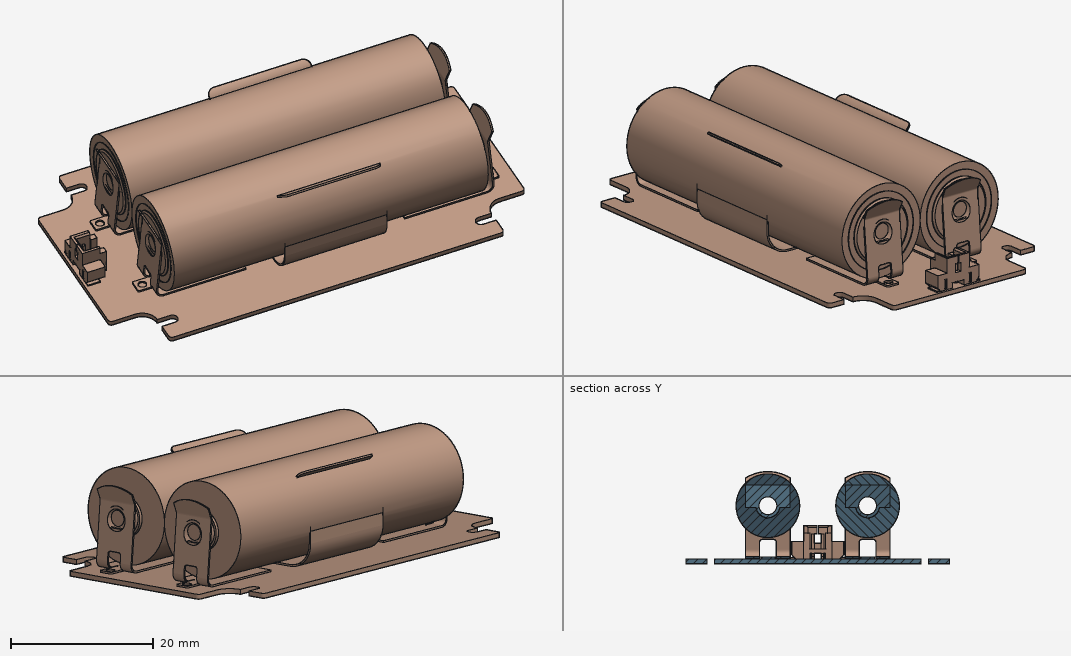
import cadquery as cq
import math

BOARD_WIDTH = 37.0
BOARD_LENGTH = 64.5
BOARD_THICKNESS = 0.7
EAR_LENGTH = 51.85
END_TAB_WIDTH = 23.85
INNER_CORNER_RADIUS = 2.3
OUTER_CORNER_RADIUS = 0.5
SLOT_WIDTH = 1.55
SLOT_DEPTH = 2.8
SLOT_X = END_TAB_WIDTH / 2 + INNER_CORNER_RADIUS + SLOT_WIDTH / 2

SHEET = 0.25
SHEET_TOP = BOARD_THICKNESS + SHEET
HOLDER_Y = 2.05

CELL_TOP = 15.15
CELL_DIAMETER = 14.0
CELL_RADIUS = CELL_DIAMETER / 2
CELL_X = CELL_RADIUS
CELL_Z = CELL_TOP - CELL_RADIUS
CELL_BACK = 25.55
CELL_FRONT = -23.15
CAP_END = 26.8
CAP_FLANGE_DIAMETER = 5.8
CAP_FLANGE_HEIGHT = 0.5
CAP_BASE_DIAMETER = 5.15
CAP_TIP_DIAMETER = 4.5
NEGATIVE_DISC_DIAMETER = 9.6
NEGATIVE_DISC_HEIGHT = 0.2
NEGATIVE_DISC_BEVEL = 0.3
NEGATIVE_WELL_DIAMETER = 11.6
NEGATIVE_WELL_DEPTH = 0.1

TERMINAL_WIDTH = 6.3
FOOT_START = 12.3
BEND = 26.3
BEND_RADIUS = 1.15
KINK = 25.4
KINK_Z = 10.5
KINK_RADIUS = 0.5
LIP = 26.45
LIP_Z = 12.95
LIP_CROWN = 0.9
WINDOW_WIDTH = 2.3
WINDOW_TOP = 3.4
WINDOW_START = 24.0
WINDOW_CORNER_RADIUS = 0.4
TAB_WIDTH = 2.05
TAB_START = 22.85
TAB_END = 28.0
TAB_CORNER_RADIUS = 0.2
TAB_HOLE_DIAMETER = 1.2
TAB_HOLE = 26.9
DIMPLE_MOUTH_DIAMETER = 3.6
DIMPLE_TIP_DIAMETER = 2.5
DISH_FLOOR_DIAMETER = 2.3
DISH_DEPTH = 0.25
DIMPLE_TIP = CAP_END - HOLDER_Y

HOLDER_LENGTH = 15.8
ARM_DEPTH = 0.25
ARM_RADIUS = CELL_RADIUS - ARM_DEPTH
ARM_X = CELL_X + ARM_RADIUS
ARM_BEND_RADIUS = 3.75
ARM_END_ANGLE = 52.0
HOLDER_LIP_LENGTH = 1.6
HOLDER_LIP_ANGLE = 36.0
HOLDER_LIP_BOW = 0.1
HOLDER_LIP_CORNER = 1.15

CONNECTOR_FRONT = -31.8
CONNECTOR_BACK = -28.05
HOUSING_BACK = -29.0
HOUSING_WIDTH = 4.0
HOUSING_TOP = 5.35
POST_TOP = 4.3
POST_GAP = 2.2
CAVITY_WIDTH = 2.7
CAVITY_BEVEL = 0.25
CAVITY_FLOOR = 2.05
FRONT_WALL = 0.65
WING_SPAN = 7.35
WING_TOP = 3.15
WING_BEVEL = 0.6
NOTCH_WIDTH = 0.2
NOTCH_WINDOW_WIDTH = 0.95
NOTCH_WINDOW_BOTTOM = 2.9
NOTCH_WINDOW_TOP = 4.2
TUNNEL_WIDTH = 2.05
TUNNEL_TOP = 1.5
FOOT_PAD_SPAN = 7.75
FOOT_PAD_BACK = -29.85
FOOT_PAD_HEIGHT = 0.2
GROOVE_WIDTH = 0.4
GROOVE_TOP = 2.25
GROOVE_DEPTH = 0.25
PIN_PITCH = 1.35
PIN_SIZE = 0.4
PIN_Y = -30.3
PIN_TOP = 4.2
PIN_TAIL_END = -27.55
PIN_TAIL_HEIGHT = 0.3


def block(x_range, y_range, z_range):
    """Axis-aligned block between the given limits."""
    sizes = [high - low for low, high in (x_range, y_range, z_range)]
    corner = (x_range[0], y_range[0], z_range[0])
    return cq.Workplane("XY").box(*sizes, centered=False).translate(corner)


def centred(width):
    """Limits of a width that is centred on zero."""
    return (-width / 2, width / 2)


def make_board():
    middle = cq.Workplane("XY").rect(BOARD_WIDTH, EAR_LENGTH).extrude(BOARD_THICKNESS)
    tabs = cq.Workplane("XY").rect(END_TAB_WIDTH, BOARD_LENGTH).extrude(BOARD_THICKNESS)
    board = middle.union(tabs)

    def round_corners(shape, x, y, radius):
        for side_x in (-x, x):
            for side_y in (-y, y):
                corner = cq.selectors.NearestToPointSelector((side_x, side_y, BOARD_THICKNESS / 2))
                shape = shape.edges("|Z").edges(corner).fillet(radius)
        return shape

    board = round_corners(board, END_TAB_WIDTH / 2, EAR_LENGTH / 2, INNER_CORNER_RADIUS)
    board = round_corners(board, END_TAB_WIDTH / 2, BOARD_LENGTH / 2, OUTER_CORNER_RADIUS)
    board = round_corners(board, BOARD_WIDTH / 2, EAR_LENGTH / 2, OUTER_CORNER_RADIUS)

    slots = (
        cq.Workplane("XY")
        .rect(2 * SLOT_X, EAR_LENGTH, forConstruction=True)
        .vertices()
        .slot2D(2 * SLOT_DEPTH, SLOT_WIDTH, 90)
        .extrude(BOARD_THICKNESS)
    )
    return board.cut(slots)


def make_terminal(with_dish=True):
    """Terminal on X = 0 that stands at the +Y end of a cell centred on Y = 0.

    Without the dish, the dimple is solid: that is the room the terminal takes up in a cell.
    """
    profile = [
        (FOOT_START, BOARD_THICKNESS),
        (BEND, BOARD_THICKNESS),
        (KINK, KINK_Z),
        (LIP, LIP_Z),
        (LIP - SHEET, LIP_Z),
        (KINK - SHEET, KINK_Z),
        (BEND - SHEET, SHEET_TOP),
        (FOOT_START, SHEET_TOP),
    ]
    side_plane = cq.Workplane("YZ", origin=(-TERMINAL_WIDTH / 2, 0, 0))
    strip = side_plane.polyline(profile).close().extrude(TERMINAL_WIDTH)

    def round_bend(shape, y, z, radius):
        return shape.edges(cq.selectors.NearestToPointSelector((0, y, z))).fillet(radius)

    strip = round_bend(strip, BEND, BOARD_THICKNESS, BEND_RADIUS)
    strip = round_bend(strip, BEND - SHEET, SHEET_TOP, BEND_RADIUS - SHEET)
    strip = round_bend(strip, KINK, KINK_Z, KINK_RADIUS)
    strip = round_bend(strip, KINK - SHEET, KINK_Z, KINK_RADIUS + SHEET)

    half = TERMINAL_WIDTH / 2
    above_lip = (
        cq.Workplane("XZ")
        .moveTo(-half, LIP_Z - LIP_CROWN)
        .threePointArc((0, LIP_Z), (half, LIP_Z - LIP_CROWN))
        .lineTo(half, CELL_TOP)
        .lineTo(-half, CELL_TOP)
        .close()
        .extrude(-TAB_END)
    )
    strip = strip.cut(above_lip)

    window = block(
        centred(WINDOW_WIDTH), (WINDOW_START, TAB_END), (BOARD_THICKNESS, WINDOW_TOP)
    )
    window = window.edges("|Y and >Z").fillet(WINDOW_CORNER_RADIUS)
    tab = block(
        centred(TAB_WIDTH), (TAB_START, TAB_END), (BOARD_THICKNESS, SHEET_TOP)
    )
    tab = tab.edges("|Z and >Y").fillet(TAB_CORNER_RADIUS)
    hole = (
        cq.Workplane("XY")
        .center(0, TAB_HOLE)
        .circle(TAB_HOLE_DIAMETER / 2)
        .extrude(SHEET_TOP)
    )
    strip = strip.cut(window).union(tab).cut(hole)

    lean = (BEND - KINK) / (KINK_Z - BOARD_THICKNESS)
    mouth = KINK + lean * (KINK_Z - CELL_Z)

    def frustum(mouth_diameter, mouth_y, tip_diameter, tip_y):
        outline = [(0, tip_y), (tip_diameter / 2, tip_y), (mouth_diameter / 2, mouth_y), (0, mouth_y)]
        cone = cq.Workplane("XY").polyline(outline).close().revolve(360, (0, 0), (0, 1))
        return cone.translate((0, 0, CELL_Z))

    bump = frustum(DIMPLE_MOUTH_DIAMETER, mouth - SHEET / 2, DIMPLE_TIP_DIAMETER, DIMPLE_TIP)
    dish = frustum(DIMPLE_MOUTH_DIAMETER, mouth + SHEET / 2, DISH_FLOOR_DIAMETER, mouth - DISH_DEPTH)
    strip = strip.union(bump)
    return strip.cut(dish) if with_dish else strip


def place_back(terminal, x):
    return terminal.translate((x, HOLDER_Y, 0))


def place_front(terminal, x):
    return terminal.rotate((0, 0, 0), (0, 0, 1), 180).translate((x, HOLDER_Y, 0))


def make_holder():
    def on_cell(radius, angle):
        turn = math.radians(angle)
        return (CELL_X + radius * math.cos(turn), CELL_Z + radius * math.sin(turn))

    bend_x = ARM_X - ARM_BEND_RADIUS
    bend_z = BOARD_THICKNESS + ARM_BEND_RADIUS
    half_turn = math.sqrt(0.5)
    inner_bend = ARM_BEND_RADIUS - SHEET
    inner_radius = ARM_RADIUS - SHEET
    lip_turn = math.radians(HOLDER_LIP_ANGLE)
    lip_root = on_cell(ARM_RADIUS, ARM_END_ANGLE)
    lip_tip = (
        lip_root[0] + HOLDER_LIP_LENGTH * math.cos(lip_turn),
        lip_root[1] + HOLDER_LIP_LENGTH * math.sin(lip_turn),
    )
    lip_tip_top = (lip_tip[0] - SHEET * math.sin(lip_turn), lip_tip[1] + SHEET * math.cos(lip_turn))
    lip_middle = (
        (lip_root[0] + lip_tip[0]) / 2 - HOLDER_LIP_BOW * math.sin(lip_turn),
        (lip_root[1] + lip_tip[1]) / 2 + HOLDER_LIP_BOW * math.cos(lip_turn),
    )
    lip_middle_top = (
        lip_middle[0] - SHEET * math.sin(lip_turn),
        lip_middle[1] + SHEET * math.cos(lip_turn),
    )
    inner_end_angle = ARM_END_ANGLE + math.degrees(SHEET / inner_radius)

    half = (
        cq.Workplane("XZ", origin=(0, HOLDER_LENGTH / 2, 0))
        .moveTo(0, BOARD_THICKNESS)
        .lineTo(bend_x, BOARD_THICKNESS)
        .threePointArc(
            (bend_x + half_turn * ARM_BEND_RADIUS, bend_z - half_turn * ARM_BEND_RADIUS), (ARM_X, bend_z)
        )
        .lineTo(ARM_X, CELL_Z)
        .threePointArc(on_cell(ARM_RADIUS, ARM_END_ANGLE / 2), lip_root)
        .threePointArc(lip_middle, lip_tip)
        .lineTo(*lip_tip_top)
        .threePointArc(lip_middle_top, on_cell(inner_radius, inner_end_angle))
        .threePointArc(on_cell(inner_radius, inner_end_angle / 2), (ARM_X - SHEET, CELL_Z))
        .lineTo(ARM_X - SHEET, bend_z)
        .threePointArc(
            (bend_x + half_turn * inner_bend, bend_z - half_turn * inner_bend), (bend_x, SHEET_TOP)
        )
        .lineTo(0, SHEET_TOP)
        .close()
        .extrude(HOLDER_LENGTH)
    )
    for side in (-1, 1):
        lip_corner = (lip_tip[0], side * HOLDER_LENGTH / 2, (lip_tip[1] + lip_tip_top[1]) / 2)
        half = half.edges(cq.selectors.NearestToPointSelector(lip_corner)).fillet(HOLDER_LIP_CORNER)
    return half.union(half.mirror("YZ")).translate((0, HOLDER_Y, 0))


def make_cell(x):
    disc_radius = NEGATIVE_DISC_DIAMETER / 2
    disc_face = CELL_FRONT - NEGATIVE_DISC_HEIGHT
    well_floor = CELL_FRONT + NEGATIVE_WELL_DEPTH
    well_radius = NEGATIVE_WELL_DIAMETER / 2
    flange_radius = CAP_FLANGE_DIAMETER / 2
    flange_face = CELL_BACK + CAP_FLANGE_HEIGHT
    outline = [
        (0, disc_face),
        (disc_radius - NEGATIVE_DISC_BEVEL, disc_face),
        (disc_radius, disc_face + NEGATIVE_DISC_HEIGHT),
        (disc_radius, well_floor),
        (well_radius, well_floor),
        (well_radius, CELL_FRONT),
        (CELL_RADIUS, CELL_FRONT),
        (CELL_RADIUS, CELL_BACK),
        (flange_radius, CELL_BACK),
        (flange_radius, flange_face),
        (CAP_BASE_DIAMETER / 2, flange_face),
        (CAP_TIP_DIAMETER / 2, CAP_END),
        (0, CAP_END),
    ]
    cell = cq.Workplane("XY").polyline(outline).close().revolve(360, (0, 0), (0, 1))
    return cell.rotate((0, 0, 0), (0, 1, 0), -90).translate((x, 0, CELL_Z))


def make_connector():
    full_depth = (CONNECTOR_FRONT, CONNECTOR_BACK)
    housing_depth = (CONNECTOR_FRONT, HOUSING_BACK)
    inside_front = CONNECTOR_FRONT + FRONT_WALL

    wings = block(centred(WING_SPAN), housing_depth, (BOARD_THICKNESS, WING_TOP))
    wings = wings.edges("|Y and <Z").chamfer(WING_BEVEL)
    walls = block(centred(HOUSING_WIDTH), housing_depth, (BOARD_THICKNESS, HOUSING_TOP))
    posts = block(centred(HOUSING_WIDTH), full_depth, (BOARD_THICKNESS, POST_TOP))
    body = wings.union(walls).union(posts)

    above_floor = (CAVITY_FLOOR, HOUSING_TOP)
    body = body.cut(block(centred(CAVITY_WIDTH), (inside_front, HOUSING_BACK), above_floor))
    body = body.cut(block(centred(POST_GAP), (inside_front, CONNECTOR_BACK), above_floor))

    mouth = block(
        centred(CAVITY_WIDTH + 2 * CAVITY_BEVEL),
        (inside_front - CAVITY_BEVEL, CONNECTOR_BACK),
        (HOUSING_TOP - CAVITY_BEVEL, HOUSING_TOP + CAVITY_BEVEL),
    )
    body = body.cut(mouth.faces("<Z").edges().chamfer(CAVITY_BEVEL))

    front_wall = (CONNECTOR_FRONT, inside_front)
    body = body.cut(block(centred(NOTCH_WIDTH), front_wall, (NOTCH_WINDOW_TOP, HOUSING_TOP)))
    keyhole = (NOTCH_WINDOW_BOTTOM, NOTCH_WINDOW_TOP)
    body = body.cut(block(centred(NOTCH_WINDOW_WIDTH), front_wall, keyhole))

    body = body.cut(block(centred(TUNNEL_WIDTH), full_depth, (BOARD_THICKNESS, TUNNEL_TOP)))

    for side in (-1, 1):
        groove_x = side * (HOUSING_WIDTH + GROOVE_WIDTH) / 2
        groove_depth = (CONNECTOR_FRONT, CONNECTOR_FRONT + GROOVE_DEPTH)
        groove = block(centred(GROOVE_WIDTH), groove_depth, (BOARD_THICKNESS, GROOVE_TOP))
        body = body.cut(groove.translate((groove_x, 0, 0)))
        foot_length = (FOOT_PAD_SPAN - HOUSING_WIDTH) / 2
        foot_z = (BOARD_THICKNESS, BOARD_THICKNESS + FOOT_PAD_HEIGHT)
        foot = block(centred(foot_length), (CONNECTOR_FRONT, FOOT_PAD_BACK), foot_z)
        body = body.union(foot.translate((side * (HOUSING_WIDTH + foot_length) / 2, 0, 0)))

        pin_y = (PIN_Y - PIN_SIZE / 2, PIN_Y + PIN_SIZE / 2)
        pin = block(centred(PIN_SIZE), pin_y, (BOARD_THICKNESS, PIN_TOP))
        tail_z = (BOARD_THICKNESS, BOARD_THICKNESS + PIN_TAIL_HEIGHT)
        tail = block(centred(PIN_SIZE), (PIN_Y, PIN_TAIL_END), tail_z)
        body = body.union(pin.union(tail).translate((side * PIN_PITCH / 2, 0, 0)))
    return body


board = make_board()
connector = make_connector()
holder = make_holder()

terminals = []
cells = []
for cell_x in (-CELL_X, CELL_X):
    terminals += [place_back(make_terminal(), cell_x), place_front(make_terminal(), cell_x)]
    front_recess = place_front(make_terminal(with_dish=False), cell_x)
    cells.append(make_cell(cell_x).cut(holder).cut(front_recess))

result = cq.Compound.makeCompound(
    [board.val(), holder.val(), connector.val()]
    + [terminal.val() for terminal in terminals]
    + [cell.val() for cell in cells]
)